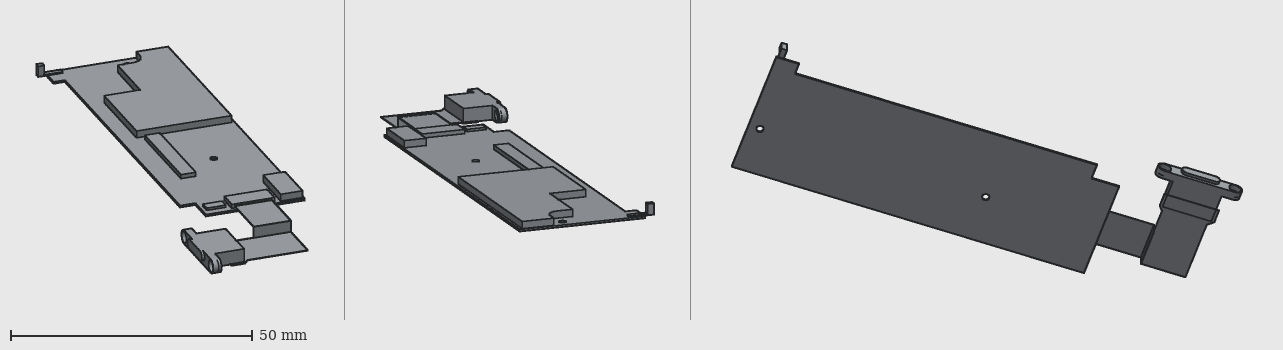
import cadquery as cq
import math

board_bottom = 1.75
board_thickness = 0.45
board_top = board_bottom + board_thickness
overall_height = 4.63
tall_top = 3.75
low_top = 3.1
chip_top = 2.7

board_length = 77.3
board_back = 30.28
board_front = 4.9
tab_length = 5.0
tab_front = 2.4
step_start = 71.25
step_front = 8.3

screw_hole_diameter = 1.5
screw_hole_y = 19.8
screw_hole_xs = (2.5, 52.05)

shield_left = 0.4
shield_right = 36.9
shield_back = 29.6
shield_front = 8.5
shield_notch_radius = 2.75
shield_step_x = 18.25
shield_step_y = 16.5

clip_left = 0.4
clip_width = 1.25
clip_back = 5.75
clip_front = 0.3
post_depth = 1.35
foot_thickness = 0.3

flex_thickness = 0.15
flex_upper_bottom = 2.55
flex_back = 23.3
flex_upper_front = 15.0
flex_left = 87.25
flex_right = 97.1
flex_end_width = 12.0
flex_taper_start = 9.9
flex_taper_end = 8.85
flex_end_front = 5.85

connector_height = 3.1
connector_width = 10.7
connector_back = 8.9
flange_length = 18.45
flange_back = 2.45
flange_front = 0.6
lug_radius = connector_height / 2
lug_hole_diameter = 2.2
lug_recess_diameter = 2.6
lug_recess_depth = 1.25
nose_length = 8.3
nose_height = 2.2
overall_length = 101.6
connector_x = overall_length - flange_length / 2

socket_right = 76.4
socket_area = (72.1, socket_right, 14.4, 23.9)
corner_block_area = (66.6, 76.7, 25.15, 30.0)
strip_area = (38.15, 58.95, 9.85, 13.15)
chip_area = (73.3, 75.45, 9.2, 13.45)


def block(left, right, front, back, bottom, top):
    """Rectangular block given by its six sides."""
    size = (right - left, back - front, top - bottom)
    return cq.Workplane("XY").box(*size, centered=False).translate((left, front, bottom))


def slot_bar(length, height, bottom, front, back):
    """Round-ended bar lying along X, centred on the connector."""
    return (
        cq.Workplane("XZ", origin=(connector_x, back, bottom + height / 2))
        .slot2D(length, height)
        .extrude(back - front)
    )


def make_plate():
    outline = [
        (0, tab_front),
        (tab_length, tab_front),
        (tab_length, board_front),
        (step_start, board_front),
        (step_start, step_front),
        (board_length, step_front),
        (board_length, board_back),
        (0, board_back),
    ]
    return (
        cq.Workplane("XY", origin=(0, 0, board_bottom))
        .polyline(outline)
        .close()
        .extrude(board_thickness)
    )


def make_shield():
    notch_x = screw_hole_xs[0]
    notch_right = notch_x + shield_notch_radius
    notch_back = screw_hole_y + shield_notch_radius
    arc_offset = shield_notch_radius * math.sqrt(0.5)
    return (
        cq.Workplane("XY", origin=(0, 0, board_top))
        .moveTo(shield_left, shield_back)
        .lineTo(shield_left, notch_back)
        .lineTo(notch_x, notch_back)
        .threePointArc((notch_x + arc_offset, screw_hole_y + arc_offset), (notch_right, screw_hole_y))
        .lineTo(notch_right, shield_step_y)
        .lineTo(shield_step_x, shield_step_y)
        .lineTo(shield_step_x, shield_front)
        .lineTo(shield_right, shield_front)
        .lineTo(shield_right, shield_back)
        .close()
        .extrude(tall_top - board_top)
    )


def make_clip():
    clip_right = clip_left + clip_width
    post_back = clip_front + post_depth
    foot_top = board_top + foot_thickness
    foot = block(clip_left, clip_right, post_back, clip_back, board_top, foot_top)
    post = block(clip_left, clip_right, clip_front, post_back, board_top, overall_height)
    return foot.union(post)


def make_board():
    corner_block = block(*corner_block_area, board_top, tall_top)
    strip = block(*strip_area, board_top, low_top)
    socket = block(*socket_area, board_top, low_top)
    chip = block(*chip_area, board_top, chip_top)
    board = make_plate()
    for component in (make_shield(), corner_block, strip, socket, chip, make_clip()):
        board = board.union(component)
    holes = (
        cq.Workplane("XY", origin=(0, 0, board_bottom))
        .pushPoints([(x, screw_hole_y) for x in screw_hole_xs])
        .circle(screw_hole_diameter / 2)
        .extrude(board_thickness)
    )
    return board.cut(holes)


def make_flex():
    end_left = connector_x - flex_end_width / 2
    end_right = connector_x + flex_end_width / 2
    drop_right = flex_left + flex_thickness
    upper_top = flex_upper_bottom + flex_thickness
    upper = block(socket_right, drop_right, flex_upper_front, flex_back, flex_upper_bottom, upper_top)
    drop = block(flex_left, drop_right, flex_upper_front, flex_back, 0, upper_top)
    lower_outline = [
        (flex_left, flex_back),
        (flex_left, flex_taper_start),
        (end_left, flex_taper_end),
        (end_left, flex_end_front),
        (end_right, flex_end_front),
        (end_right, flex_taper_end),
        (flex_right, flex_taper_start),
        (flex_right, flex_back),
    ]
    lower = cq.Workplane("XY").polyline(lower_outline).close().extrude(flex_thickness)
    return lower.union(drop).union(upper)


def make_connector(flex):
    half_width = connector_width / 2
    lug_offset = flange_length / 2 - lug_radius
    body = block(
        connector_x - half_width, connector_x + half_width, flange_front, connector_back, 0, connector_height
    )
    flange = slot_bar(flange_length, connector_height, 0, flange_front, flange_back)
    nose = slot_bar(nose_length, nose_height, connector_height - nose_height, 0, flange_front)
    connector = body.union(flange).union(nose)
    lug_holes = (
        cq.Workplane("XZ", origin=(connector_x, flange_front, lug_radius))
        .pushPoints([(-lug_offset, 0), (lug_offset, 0)])
    )
    through = lug_holes.circle(lug_hole_diameter / 2).extrude(flange_front - flange_back)
    recess = lug_holes.circle(lug_recess_diameter / 2).extrude(-lug_recess_depth)
    return connector.cut(through).cut(recess).cut(flex)


board = make_board()
flex = make_flex()
connector = make_connector(flex)

result = cq.Compound.makeCompound([board.val(), flex.val(), connector.val()])